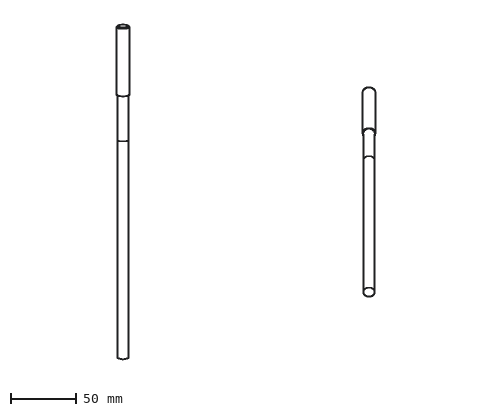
import cadquery as cq
import math

overall_length = 266.58
shank_diameter = 10.0
shank_length = 55.0
shank_chamfer = 1.0
drill_diameter = 8.7
point_angle = 140.0
cutting_length = 175.5

shank_radius = shank_diameter / 2
drill_radius = drill_diameter / 2
point_height = drill_radius / math.tan(math.radians(point_angle / 2))
shank_bottom = overall_length - shank_length
neck_length = shank_bottom - cutting_length


def make_holder():
    """Shank with a chamfered upper end and a reduced neck below it."""
    shank = (
        cq.Workplane("XY", origin=(0, 0, shank_bottom))
        .circle(shank_radius)
        .extrude(shank_length)
        .faces(">Z")
        .chamfer(shank_chamfer)
    )
    neck = cq.Workplane("XY", origin=(0, 0, cutting_length)).circle(drill_radius).extrude(neck_length)
    return shank.union(neck)


def make_cutting_part():
    """Plain cylinder ending in a conical drill point."""
    return (
        cq.Workplane("XZ")
        .lineTo(drill_radius, point_height)
        .lineTo(drill_radius, cutting_length)
        .lineTo(0, cutting_length)
        .close()
        .revolve(360, (0, 0, 0), (0, 1, 0))
    )


holder = make_holder()
cutting_part = make_cutting_part()
result = cq.Compound.makeCompound([holder.val(), cutting_part.val()])